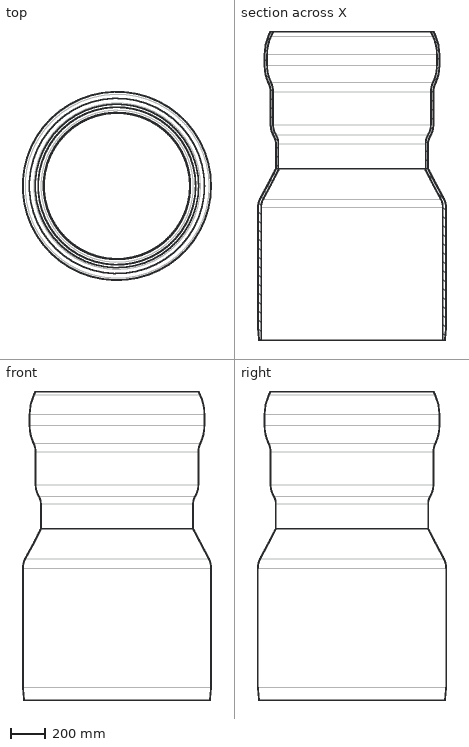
import cadquery as cq
import math

total_height = 1800.0
seam_height = 1000.0

spigot_radius = 1100.0 / 2
spigot_bore_radius = 1060.0 / 2
spigot_length = 800.0
shoulder_radius = 120.0
end_chamfer_height = 75.0
end_chamfer_depth = 7.0

socket_wall = 16.0
neck_radius = 890.0 / 2
collar_radius = 952.0 / 2
bell_bore_radius = 990.0 / 2
bell_radius = bell_bore_radius + socket_wall

neck_top = 1146.0
collar_bottom = 1258.0
collar_top = 1448.0
bell_bottom = 1603.0
bell_top = 1669.0
lip_bottom = 1781.0

neck_bend_share = 0.40
collar_bend_share = 0.33
mouth_radius = 260.0


def arc_point(center, radius, angle):
    """Point on a circle in the profile plane, with the angle measured from the radial direction."""
    return (center[0] + radius * math.cos(angle), center[1] + radius * math.sin(angle))


def add_flare(profile, bottom, top, lower_share, inset):
    """Widen a profile upwards by two tangent bends, both offset inwards by the inset.

    Bottom and top are the (radius, height) ends of the outer surface, where it is vertical.
    """
    widening = top[0] - bottom[0]
    height = top[1] - bottom[1]
    turn = 2 * math.atan2(widening, height)
    bend_sum = height / math.sin(turn)
    lower_bend = lower_share * bend_sum
    upper_bend = bend_sum - lower_bend
    lower_center = (bottom[0] + lower_bend, bottom[1])
    upper_center = (top[0] - upper_bend, top[1])
    lower_bend += inset
    upper_bend -= inset
    return (
        profile.lineTo(bottom[0] - inset, bottom[1])
        .threePointArc(
            arc_point(lower_center, lower_bend, math.pi - turn / 2),
            arc_point(lower_center, lower_bend, math.pi - turn),
        )
        .threePointArc(
            arc_point(upper_center, upper_bend, -turn / 2),
            arc_point(upper_center, upper_bend, 0),
        )
    )


def socket_solid(inset):
    """Solid of revolution bounded by the socket's outer surface, offset inwards by the inset."""
    mouth_center = (bell_radius - mouth_radius, bell_top)
    mouth_turn = math.asin((lip_bottom - bell_top) / mouth_radius)
    curve_radius = mouth_radius - inset
    curve_end = arc_point(mouth_center, curve_radius, mouth_turn)
    lip_end_radius = curve_end[0] - (total_height - curve_end[1]) * math.tan(mouth_turn)

    profile = cq.Workplane("XZ").moveTo(0, seam_height).lineTo(neck_radius - inset, seam_height)
    profile = add_flare(
        profile, (neck_radius, neck_top), (collar_radius, collar_bottom), neck_bend_share, inset
    )
    profile = add_flare(
        profile, (collar_radius, collar_top), (bell_radius, bell_bottom), collar_bend_share, inset
    )
    return (
        profile.lineTo(bell_radius - inset, bell_top)
        .threePointArc(arc_point(mouth_center, curve_radius, mouth_turn / 2), curve_end)
        .lineTo(lip_end_radius, total_height)
        .lineTo(0, total_height)
        .close()
        .revolve(360, (0, 0, 0), (0, 1, 0))
    )


def reducer_solid(body_radius, top_radius, corner_radius):
    """Cylinder topped by a cone up to the seam, with the corner between them rounded."""
    cone_height = seam_height - spigot_length
    cone_angle = math.atan2(body_radius - top_radius, cone_height)
    tangent_height = spigot_length - corner_radius * math.tan(cone_angle / 2)
    corner_center = (body_radius - corner_radius, tangent_height)
    return (
        cq.Workplane("XZ")
        .lineTo(body_radius, 0)
        .lineTo(body_radius, tangent_height)
        .threePointArc(
            arc_point(corner_center, corner_radius, cone_angle / 2),
            arc_point(corner_center, corner_radius, cone_angle),
        )
        .lineTo(top_radius, seam_height)
        .lineTo(0, seam_height)
        .close()
        .revolve(360, (0, 0, 0), (0, 1, 0))
    )


socket = socket_solid(0).cut(socket_solid(socket_wall))

spigot_wall = spigot_radius - spigot_bore_radius
reducer_outside = reducer_solid(spigot_radius, neck_radius, shoulder_radius)
reducer_outside = reducer_outside.faces("<Z").chamfer(end_chamfer_depth, end_chamfer_height)
reducer_bore = reducer_solid(
    spigot_bore_radius, neck_radius - spigot_wall, shoulder_radius - spigot_wall
)
reducer = reducer_outside.cut(reducer_bore)

result = cq.Compound.makeCompound([socket.val(), reducer.val()])